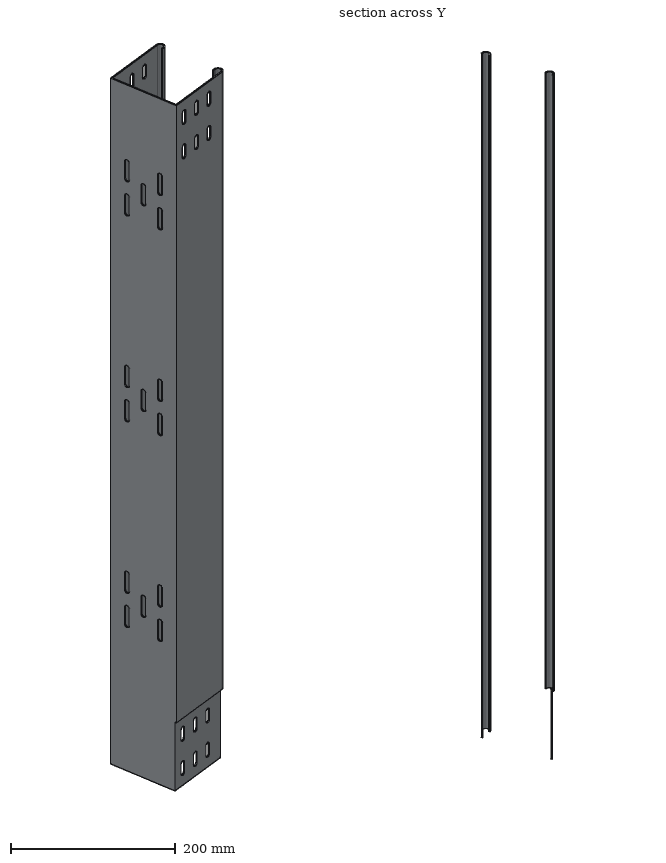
import cadquery as cq

length = 1000.0
width = 100.0
depth = 98.0
sheet = 2.0

lip_radius = 6.0
lip_return = 3.0
left_lip_start = 12.0

nesting_height = 100.0

slot_width = 7.0

group_heights = (250.0, 550.0, 850.0)
group_offset = 25.0
base_slot_length = 32.0

wall_slot_count = 3
wall_slot_first = 16.0
wall_slot_pitch = 25.0
wall_slot_length = 21.0
wall_slot_end_distances = (25.0, 75.0)

wall_top = depth - lip_radius


def block(x_start, x_end, y_end, z_start, z_end):
    """Box that starts on the outer face of the base, Y = 0."""
    size = (x_end - x_start, y_end, z_end - z_start)
    return cq.Workplane("XY").box(*size, centered=False).translate((x_start, 0, z_start))


def channel_body():
    """Base and two straight walls, with the lower end of the +X wall stepped inward."""
    right = width / 2
    nested_right = right - sheet
    base = block(-right, right, sheet, nesting_height, length)
    nested_base = block(-right, nested_right, sheet, 0, nesting_height)
    left_wall = block(-right, -right + sheet, wall_top, 0, length)
    right_wall = block(right - sheet, right, wall_top, nesting_height, length)
    nested_wall = block(nested_right - sheet, nested_right, wall_top, 0, nesting_height + sheet)
    return base.union(nested_base).union(left_wall).union(right_wall).union(nested_wall)


def right_lip(start):
    """Lip curled inward through a half circle, with a short straight return."""
    wall_x = width / 2
    bend_x = wall_x - lip_radius
    return_x = wall_x - 2 * lip_radius
    return_y = wall_top - lip_return
    return (
        cq.Workplane("XY", origin=(0, 0, start))
        .moveTo(wall_x, wall_top)
        .threePointArc((bend_x, depth), (return_x, wall_top))
        .lineTo(return_x, return_y)
        .lineTo(return_x + sheet, return_y)
        .lineTo(return_x + sheet, wall_top)
        .threePointArc((bend_x, depth - sheet), (wall_x - sheet, wall_top))
        .close()
        .extrude(length - start)
    )


def base_slots():
    """Slot cutters through the base, five in each group."""
    points = []
    for middle in group_heights:
        points.append((0, middle))
        for side in (-group_offset, group_offset):
            for rise in (-group_offset, group_offset):
                points.append((side, middle + rise))
    return (
        cq.Workplane("XZ")
        .pushPoints(points)
        .slot2D(base_slot_length, slot_width, 90)
        .extrude(sheet, both=True)
    )


def wall_slots():
    """Slot cutters through both walls, near both ends."""
    points = []
    for column in range(wall_slot_count):
        base_distance = wall_slot_first + column * wall_slot_pitch
        for end_distance in wall_slot_end_distances:
            points.append((base_distance, end_distance))
            points.append((base_distance, length - end_distance))
    return (
        cq.Workplane("YZ")
        .pushPoints(points)
        .slot2D(wall_slot_length, slot_width, 90)
        .extrude(width, both=True)
    )


result = (
    channel_body()
    .union(right_lip(nesting_height))
    .union(right_lip(left_lip_start).mirror("YZ"))
    .cut(base_slots())
    .cut(wall_slots())
)